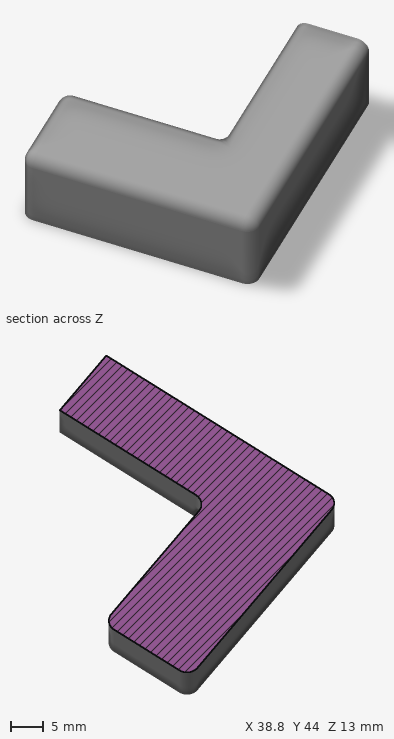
import cadquery as cq

length_x = 38.8
length_y = 43.98
height = 13.0

front_arm_width = 16.3
side_arm_width = 12.1

edge_radius = 2.0

inner_corner_x = length_x - side_arm_width
inner_corner_y = front_arm_width

selection_margin = 1.0


def l_shaped_block():
    """Sharp-edged L: a front arm along X and a side arm along Y."""
    return (
        cq.Workplane("XY")
        .polyline([
            (0, 0),
            (length_x, 0),
            (length_x, length_y),
            (inner_corner_x, length_y),
            (inner_corner_x, inner_corner_y),
            (0, inner_corner_y),
        ])
        .close()
        .extrude(height)
    )


def round_outer_edges(block):
    """Round the outer upright corners and the top rim, leaving the +Y end flat."""
    flat_end = cq.selectors.BoxSelector(
        (-selection_margin, length_y - selection_margin, -selection_margin),
        (length_x + selection_margin, length_y + selection_margin, height + selection_margin),
    )
    inner_upright = cq.selectors.NearestToPointSelector((inner_corner_x, inner_corner_y, height / 2))
    upright = cq.selectors.ParallelDirSelector(cq.Vector(0, 0, 1))
    top_rim = cq.selectors.StringSyntaxSelector("#Z and >Z")
    return block.edges((upright + top_rim) - flat_end - inner_upright).fillet(edge_radius)


def round_inner_corner(block):
    """Round the inner upright edge; the rounding follows the rim mitre and fades out at the top."""
    inner_upright = cq.selectors.NearestToPointSelector(
        (inner_corner_x, inner_corner_y, (height - edge_radius) / 2)
    )
    return block.edges(inner_upright).fillet(edge_radius)


result = round_inner_corner(round_outer_edges(l_shaped_block()))